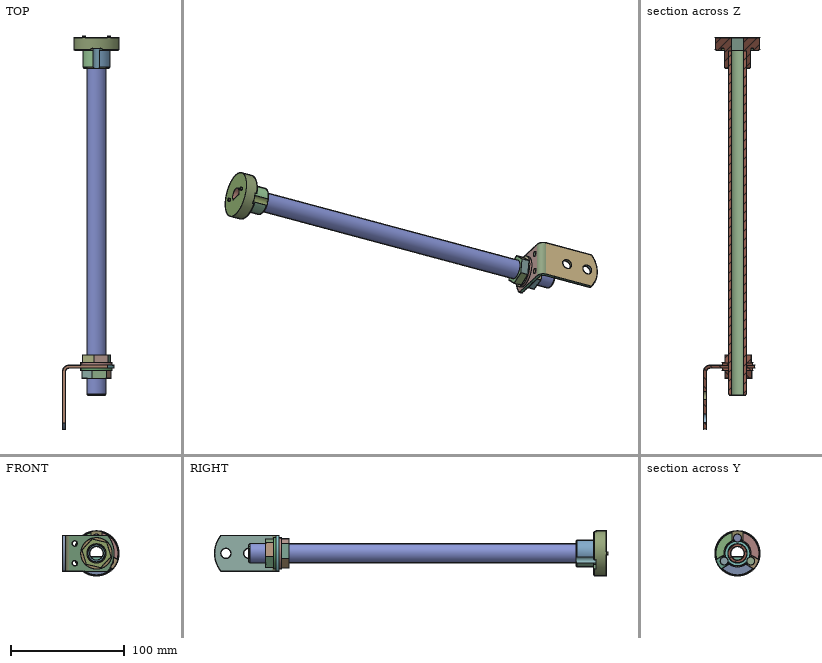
import cadquery as cq
import math


overall_length = 346.7
overall_width = 50.0
flange_radius = 40.0 / 2

tube_radius = 17.0 / 2
tube_bore_radius = 6.0
tube_end_y = 30.0
tube_end_chamfer = 1.0

bracket_left_x = flange_radius - overall_width
bracket_width = 32.0
bracket_thickness = 2.8
bend_outer_radius = 6.0
plate_right_x = 15.5
plate_back_y = 57.0
end_arc_radius = 25.0
leg_hole_diameter = 8.5
leg_hole_ys = (10.0, 30.0)
plate_hole_diameter = 4.5
plate_hole_x = -19.0
plate_hole_z = 8.5
plate_front_y = plate_back_y - bracket_thickness

washer_radius = 14.0
washer_thickness = 2.0
nut_corner_radius = 13.2
nut_thickness = 7.0
front_nut_corner_angle = 47
back_nut_corner_angle = 40
corners_per_nut = 6

stud_height = 1.5
flange_back_y = overall_length - stud_height
flange_thickness = 11.5
flange_front_y = flange_back_y - flange_thickness
flange_chamfer = 1.0
hub_radius = 24.0 / 2
hub_length = 15.5
hub_end_y = flange_front_y - hub_length
hub_chamfer = 1.0
cap_flat_z = -2.8
flute_radius = 3.5
flute_center_radius = 13.5
flute_end_depth = 4.0
groove_width = 9.5
groove_depth = 2.0
flute_angles = (0, 120, 240)
stud_radius = 1.5
stud_x = 11.0


def rod(radius, y_start, y_end, x=0, z=0):
    """Cylinder parallel to Y."""
    start = cq.Workplane("XZ", origin=(x, y_start, z))
    return start.circle(radius).extrude(y_start - y_end)


def ring(outer_radius, inner_radius, y_start, y_end):
    """Cylinder around the tube axis with a hole through it."""
    return rod(outer_radius, y_start, y_end).cut(rod(inner_radius, y_start, y_end))


def make_tube():
    body = rod(tube_radius, tube_end_y, flange_front_y)
    body = body.faces("<Y").chamfer(tube_end_chamfer)
    return body.cut(rod(tube_bore_radius, tube_end_y, flange_front_y))


def rounded_strip(plane, length):
    """Flat strip along the plane's first axis, with an arc at its far end."""
    half_width = bracket_width / 2
    arc_rise = end_arc_radius - math.sqrt(end_arc_radius**2 - half_width**2)
    return (
        cq.Workplane(plane)
        .moveTo(0, -half_width)
        .lineTo(length - arc_rise, -half_width)
        .threePointArc((length, 0), (length - arc_rise, half_width))
        .lineTo(0, half_width)
        .close()
        .extrude(bracket_thickness)
    )


def make_bracket():
    corner = (bracket_left_x, plate_back_y, 0)
    leg_plane = cq.Plane(origin=corner, xDir=(0, -1, 0), normal=(1, 0, 0))
    plate_plane = cq.Plane(origin=corner, xDir=(1, 0, 0), normal=(0, -1, 0))
    leg = rounded_strip(leg_plane, plate_back_y)
    plate = rounded_strip(plate_plane, plate_right_x - bracket_left_x)
    body = leg.union(plate)

    outer_edge = cq.selectors.NearestToPointSelector(corner)
    body = body.edges("|Z").edges(outer_edge).fillet(bend_outer_radius)
    inner_corner = (bracket_left_x + bracket_thickness, plate_front_y, 0)
    inner_edge = cq.selectors.NearestToPointSelector(inner_corner)
    body = body.edges("|Z").edges(inner_edge).fillet(bend_outer_radius - bracket_thickness)

    body = body.cut(rod(tube_radius, plate_front_y, plate_back_y))
    for z in (-plate_hole_z, plate_hole_z):
        body = body.cut(rod(plate_hole_diameter / 2, plate_front_y, plate_back_y, plate_hole_x, z))
    for y in leg_hole_ys:
        leg_side = cq.Workplane("YZ", origin=(bracket_left_x, y, 0))
        body = body.cut(leg_side.circle(leg_hole_diameter / 2).extrude(bracket_thickness))
    return body


def make_washer(y_start):
    return ring(washer_radius, tube_radius, y_start, y_start + washer_thickness)


def make_nut(y_start, corner_angle):
    """Hexagon nut with one corner turned by corner_angle degrees from +X toward +Z."""
    y_end = y_start + nut_thickness
    body = (
        cq.Workplane("XZ", origin=(0, y_start, 0))
        .transformed(rotate=(0, 0, corner_angle))
        .polygon(corners_per_nut, 2 * nut_corner_radius)
        .extrude(-nut_thickness)
    )
    return body.cut(rod(tube_radius, y_start, y_end))


def make_cap():
    flange = rod(flange_radius, flange_front_y, flange_back_y).faces("<Y").chamfer(flange_chamfer)
    hub = rod(hub_radius, hub_end_y, flange_front_y).faces("<Y").chamfer(hub_chamfer)
    body = flange.union(hub)

    body = body.cut(rod(tube_radius, hub_end_y, flange_front_y))
    flat_block = cq.Workplane("XY", origin=(0, flange_front_y, cap_flat_z)).box(
        2 * tube_bore_radius, flange_thickness, 2 * tube_bore_radius, centered=(True, False, False)
    )
    through_hole = rod(tube_bore_radius, flange_front_y, flange_back_y).intersect(flat_block)
    body = body.cut(through_hole)

    flute_end_y = flange_front_y + flute_end_depth
    flute = rod(flute_radius, hub_end_y, flute_end_y, z=flute_center_radius)
    groove = cq.Workplane("XY", origin=(0, flange_front_y, hub_radius)).box(
        groove_width, groove_depth, flange_radius, centered=(True, False, False)
    )
    for angle in flute_angles:
        for cutter in (flute, groove):
            body = body.cut(cutter.rotate((0, 0, 0), (0, 1, 0), angle))

    for x in (-stud_x, stud_x):
        body = body.union(rod(stud_radius, flange_back_y, flange_back_y + stud_height, x))
    return body


front_washer_y = plate_front_y - washer_thickness
front_nut_y = front_washer_y - nut_thickness
back_nut_y = plate_back_y + washer_thickness

tube = make_tube()
bracket = make_bracket()
cap = make_cap()
washers = [make_washer(y) for y in (front_washer_y, plate_back_y)]
nut_places = ((front_nut_y, front_nut_corner_angle), (back_nut_y, back_nut_corner_angle))
nuts = [make_nut(y, corner_angle) for y, corner_angle in nut_places]

result = cq.Compound.makeCompound(
    [body.val() for body in (tube, bracket, cap, *washers, *nuts)]
)